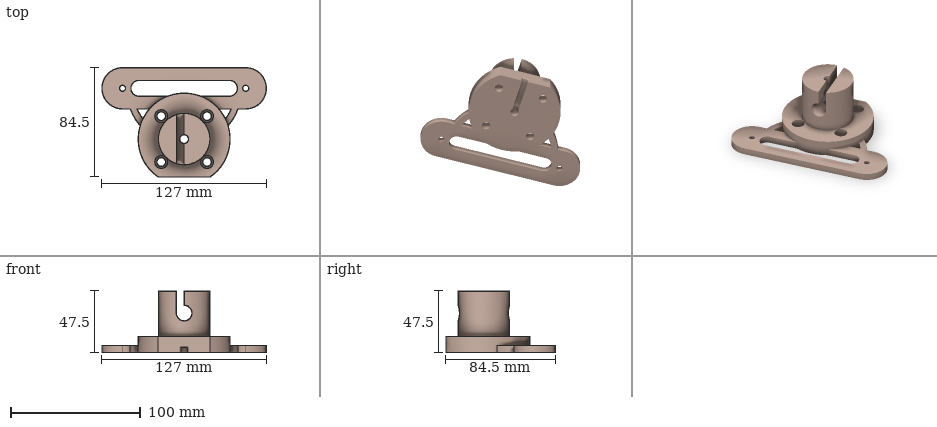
import cadquery as cq
import math

arm_length = 127.0
arm_width = 32.0
arm_thickness = 5.5
arm_offset = 39.18
arm_hole_diameter = 4.5
arm_slot_length = 82.0
arm_slot_width = 12.0
arm_hole_spacing = arm_length - arm_width

brace_outer_radius = 44.6
brace_width = 5.0

flange_radius = 35.5
flange_thickness = 12.5
flat_width = 40.0
flat_distance = math.sqrt(flange_radius**2 - (flat_width / 2) ** 2)

bolt_circle_diameter = 50.0
bolt_hole_diameter = 6.5
counterbore_diameter = 10.0
counterbore_floor = 5.0
counterbore_depth = flange_thickness - counterbore_floor

total_height = 47.5
boss_diameter = 39.7
boss_radius = boss_diameter / 2
boss_height = total_height - flange_thickness
center_hole_diameter = 6.6
rod_diameter = 11.9
rod_height_above_flange = 18.0
rod_height = flange_thickness + rod_height_above_flange

channel_width = 5.0
channel_height = 4.0
channel_corner_radius = 0.8
channel_lip_radius = 0.75


def make_arm():
    return (
        cq.Workplane("XY")
        .center(0, arm_offset)
        .slot2D(arm_length, arm_width)
        .extrude(arm_thickness)
    )


def make_braces():
    """Half ring on the flange side of the arm's long axis."""
    ring = (
        cq.Workplane("XY")
        .center(0, arm_offset)
        .circle(brace_outer_radius)
        .circle(brace_outer_radius - brace_width)
        .extrude(arm_thickness)
    )
    flange_side = (
        cq.Workplane("XY")
        .center(0, arm_offset)
        .rect(2 * brace_outer_radius, brace_outer_radius)
        .extrude(arm_thickness)
        .translate((0, -brace_outer_radius / 2, 0))
    )
    return ring.intersect(flange_side)


def cut_arm_openings(body):
    slot = (
        cq.Workplane("XY")
        .center(0, arm_offset)
        .slot2D(arm_slot_length, arm_slot_width)
        .extrude(arm_thickness)
    )
    holes = (
        cq.Workplane("XY")
        .center(0, arm_offset)
        .rarray(arm_hole_spacing, 1, 2, 1)
        .circle(arm_hole_diameter / 2)
        .extrude(arm_thickness)
    )
    return body.cut(slot).cut(holes)


def make_flange():
    half_flat = flat_width / 2
    return (
        cq.Workplane("XY")
        .moveTo(-half_flat, -flat_distance)
        .threePointArc((0, flange_radius), (half_flat, -flat_distance))
        .close()
        .extrude(flange_thickness)
    )


def make_boss():
    return (
        cq.Workplane("XY")
        .workplane(offset=flange_thickness)
        .circle(boss_radius)
        .extrude(boss_height)
    )


def cut_flange_holes(body):
    pitch = bolt_circle_diameter / math.sqrt(2)
    return (
        body.faces(">Z")
        .workplane(origin=(0, 0, flange_thickness))
        .rarray(pitch, pitch, 2, 2)
        .cboreHole(bolt_hole_diameter, counterbore_diameter, counterbore_depth)
    )


def cut_center_hole(body):
    hole = cq.Workplane("XY").circle(center_hole_diameter / 2).extrude(total_height)
    return body.cut(hole)


def cut_rod_seat(body):
    """Cross bore plus an entry slot that drops in along one side of the bore."""
    rod_radius = rod_diameter / 2
    bore = (
        cq.Workplane("XZ")
        .center(0, rod_height)
        .circle(rod_radius)
        .extrude(boss_radius, both=True)
    )
    entry = cq.Workplane("XY").box(
        rod_radius,
        2 * boss_radius,
        total_height - rod_height,
        centered=(False, True, False),
    )
    return body.cut(bore).cut(entry.translate((-rod_radius, 0, rod_height)))


def cut_channel(body):
    """Round-cornered channel in the bottom face, with a rounded lip where it meets the flat."""
    channel = (
        cq.Workplane("XY")
        .box(channel_width, flat_distance, channel_height, centered=(True, False, False))
        .translate((0, -flat_distance, 0))
        .edges("|Y and >Z")
        .fillet(channel_corner_radius)
    )
    margin = channel_lip_radius / 2
    half_width = channel_width / 2
    mouth = cq.selectors.BoxSelector(
        (-half_width - margin, -flat_distance - margin, 0),
        (half_width + margin, -flat_distance + margin, channel_height + margin),
    )
    return body.cut(channel).edges(mouth).fillet(channel_lip_radius)


arm = cut_arm_openings(make_arm().union(make_braces()))
body = arm.union(make_flange())
body = cut_flange_holes(body)
body = body.union(make_boss())
body = cut_center_hole(body)
body = cut_rod_seat(body)
result = cut_channel(body)